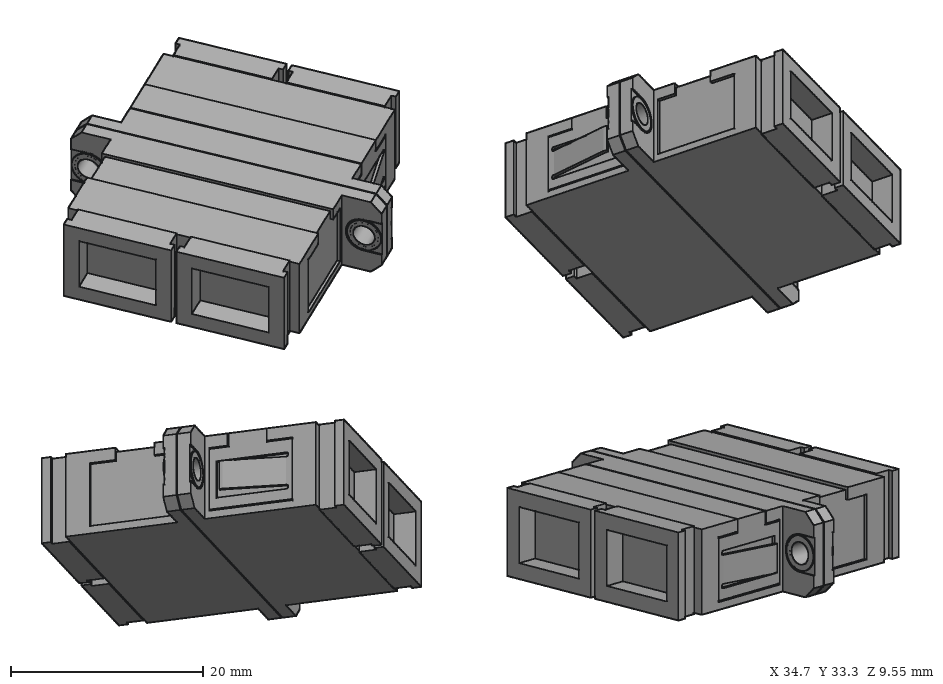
import cadquery as cq


BODY_WIDTH = 25.8
BODY_HEIGHT = 9.25
BODY_HALF_LENGTH = 13.75
EAR_SPAN = 34.67
EAR_HALF_THICKNESS = 1.53
EAR_CHAMFER = 1.2
SEAM_GAP = 0.1

PORT_PITCH = 12.6
PORT_WIDTH = 12.0
PORT_HEIGHT = 9.55
PORT_END = 16.65
PORT_FLANGE_THICKNESS = 1.0
PORT_NECK_WIDTH = 11.0
POCKET_WIDTH = 8.55
POCKET_HEIGHT = 6.05
POCKET_DEPTH = 2.43

RECESS_DEPTH = 0.35
SIDE_START = 2.0
SIDE_END = 11.15
SIDE_TOP = 3.25
SIDE_BOTTOM = -3.78
SADDLE_START = 4.02
SADDLE_END = 8.32

CLIP_GAP = 0.15
WINDOW_START = 2.77
TONGUE_ROOT = 10.47
TONGUE_END = 3.5
TONGUE_TIP_LENGTH = 0.38
TONGUE_LIFT = 1.1
TONGUE_TOP = 1.18
TONGUE_BOTTOM = -1.95
SLOT_WIDTH = 0.5

BUSHING_X = 15.35
BORE_RADIUS = 1.2
TUBE_RADIUS = 1.55
FLANGE_RADIUS = 1.9
FLANGE_THICKNESS = 0.15
SEAT_RADIUS = 2.05

SIDES = (-1, 1)
BODY_TOP = BODY_HEIGHT / 2
BODY_SIDE = BODY_WIDTH / 2


def block(x_range, y_range, z_range):
    """Box between the given limits on each axis."""
    size = [high - low for low, high in (x_range, y_range, z_range)]
    corner = (x_range[0], y_range[0], z_range[0])
    return cq.Workplane("XY").box(*size, centered=False).translate(corner)


def centered_block(x, width, y_range, height):
    """Box centered on x and on z = 0, between two y limits."""
    return block((x - width / 2, x + width / 2), y_range, (-height / 2, height / 2))


def y_cylinder(x, radius, y_start, y_end):
    """Round bar along Y on the z = 0 plane."""
    bar = cq.Solid.makeCylinder(radius, y_end - y_start, cq.Vector(x, y_start, 0), cq.Vector(0, 1, 0))
    return cq.Workplane(obj=bar)


def side_layer(side, y_range, z_range):
    """Slab as thick as the recess, flush with one side of the body."""
    x_range = sorted((side * BODY_SIDE, side * (BODY_SIDE - RECESS_DEPTH)))
    return block(x_range, y_range, z_range)


def wrap(saddle_start, side_top, side_bottom):
    """Layer as thick as the recess: a saddle over the top and a wide leg on each side."""
    saddle_y = (saddle_start, SADDLE_END)
    layer = block((-BODY_SIDE, BODY_SIDE), saddle_y, (BODY_TOP - RECESS_DEPTH, BODY_TOP))
    for side in SIDES:
        layer = layer.union(side_layer(side, saddle_y, (side_bottom, BODY_TOP)))
        layer = layer.union(side_layer(side, (SIDE_START, SIDE_END), (side_bottom, side_top)))
    return layer


def port(x):
    """Flanged connector port, before its pocket is cut."""
    neck = centered_block(x, PORT_NECK_WIDTH, (BODY_HALF_LENGTH, PORT_END), PORT_HEIGHT)
    flange_y = (PORT_END - PORT_FLANGE_THICKNESS, PORT_END)
    return neck.union(centered_block(x, PORT_WIDTH, flange_y, PORT_HEIGHT))


def ear_cut(side):
    """Bushing hole and the round-ended flange seat that opens at the edge of the ear."""
    x = side * BUSHING_X
    seat_y = (EAR_HALF_THICKNESS - FLANGE_THICKNESS, EAR_HALF_THICKNESS)
    seat_x = sorted((x, side * EAR_SPAN / 2))
    cut = y_cylinder(x, TUBE_RADIUS, 0, EAR_HALF_THICKNESS)
    cut = cut.union(y_cylinder(x, SEAT_RADIUS, *seat_y))
    return cut.union(block(seat_x, seat_y, (-SEAT_RADIUS, SEAT_RADIUS)))


def rear_half():
    """Housing half on the +Y side of the seam."""
    ears = centered_block(0, EAR_SPAN, (SEAM_GAP / 2, EAR_HALF_THICKNESS), BODY_HEIGHT)
    half = ears.edges("|Y").chamfer(EAR_CHAMFER)
    pocket_y = (PORT_END - POCKET_DEPTH, PORT_END)
    half = half.union(centered_block(0, BODY_WIDTH, (SEAM_GAP / 2, BODY_HALF_LENGTH), BODY_HEIGHT))
    for side in SIDES:
        x = side * PORT_PITCH / 2
        half = half.union(port(x))
        half = half.cut(centered_block(x, POCKET_WIDTH, pocket_y, POCKET_HEIGHT))
        half = half.cut(ear_cut(side))
    return half.cut(wrap(SADDLE_START, SIDE_TOP, SIDE_BOTTOM))


def tongue(side):
    """Spring tongue bent outward from its root, with a short straight tip."""
    outer = BODY_SIDE
    inner = BODY_SIDE - RECESS_DEPTH
    bend = TONGUE_END + TONGUE_TIP_LENGTH
    outline = [
        (outer, TONGUE_ROOT),
        (outer + TONGUE_LIFT, bend),
        (outer + TONGUE_LIFT, TONGUE_END),
        (inner + TONGUE_LIFT, TONGUE_END),
        (inner + TONGUE_LIFT, bend),
        (inner, TONGUE_ROOT),
    ]
    points = [(side * x, y) for x, y in outline]
    height = TONGUE_TOP - TONGUE_BOTTOM
    return cq.Workplane("XY").workplane(offset=TONGUE_BOTTOM).polyline(points).close().extrude(height)


def tongue_window(side):
    """Opening around the tongue; its two slots end in half rounds at the tongue root."""
    window_z = (TONGUE_BOTTOM - SLOT_WIDTH, TONGUE_TOP + SLOT_WIDTH)
    window = side_layer(side, (WINDOW_START, TONGUE_ROOT), window_z)
    for z in (TONGUE_BOTTOM - SLOT_WIDTH / 2, TONGUE_TOP + SLOT_WIDTH / 2):
        slot_end = cq.Solid.makeCylinder(
            SLOT_WIDTH / 2, RECESS_DEPTH,
            cq.Vector(side * BODY_SIDE, TONGUE_ROOT, z), cq.Vector(-side, 0, 0),
        )
        window = window.union(cq.Workplane(obj=slot_end))
    return window


def spring_clip():
    """Bent sheet clip seated in the rear recess with a small clearance."""
    clip = wrap(SADDLE_START + CLIP_GAP, SIDE_TOP - CLIP_GAP, SIDE_BOTTOM + CLIP_GAP)
    for side in SIDES:
        clip = clip.cut(tongue_window(side)).union(tongue(side))
    return clip


def bushing(x):
    """Tube through an ear with a thin flange at each end."""
    flange_start = EAR_HALF_THICKNESS - FLANGE_THICKNESS
    body = y_cylinder(x, TUBE_RADIUS, -EAR_HALF_THICKNESS, EAR_HALF_THICKNESS)
    body = body.union(y_cylinder(x, FLANGE_RADIUS, -EAR_HALF_THICKNESS, -flange_start))
    body = body.union(y_cylinder(x, FLANGE_RADIUS, flange_start, EAR_HALF_THICKNESS))
    return body.cut(y_cylinder(x, BORE_RADIUS, -EAR_HALF_THICKNESS, EAR_HALF_THICKNESS))


rear_housing = rear_half()
front_housing = rear_housing.mirror("XZ")
clip = spring_clip()
bushings = [bushing(side * BUSHING_X).val() for side in SIDES]

result = cq.Compound.makeCompound([front_housing.val(), rear_housing.val(), clip.val(), *bushings])